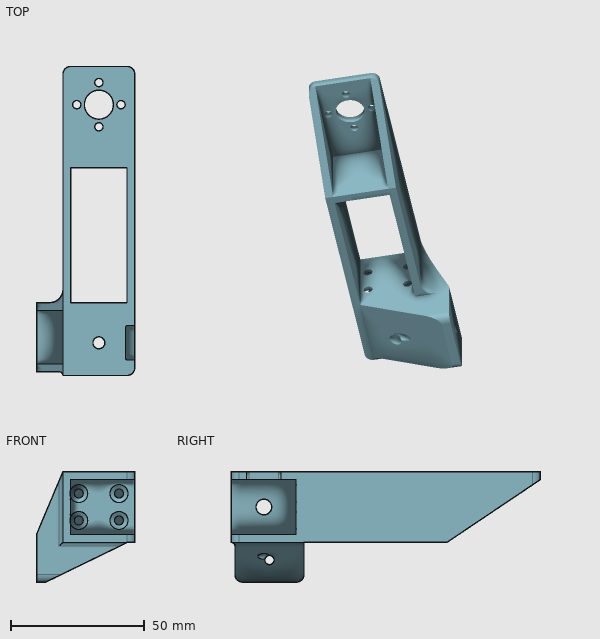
import cadquery as cq
import math

arm_length = 115.8
arm_width = 27.0
arm_height = 26.5
wall = 3.0
corner_radius = 3.0
mid_x = arm_width / 2
mid_z = arm_height / 2

left_wall = 2.8
window_front = 27.3
window_back = 77.8
motor_wall_back = window_back + wall
channel_back = window_front - wall

motor_y = 101.4
motor_bore = 10.8
motor_screw = 3.0
motor_screw_radius = 8.28
pivot_y = 12.3
pivot_diameter = 4.4
side_hole = 5.8
plate_screw = 3.4
plate_sink = 6.7
plate_pitch_x = 15.0
plate_pitch_z = 10.1

notch_front = 5.8
notch_back = 18.8
notch_depth = 3.6
notch_radius = 0.9

bracket_front = 1.4
bracket_back = window_front
bracket_reach = 9.8
bracket_drop = 14.9
bracket_foot = 3.4
bracket_tip_x = 24.2
shelf_z = 3.1
bracket_hole = 3.4
bracket_hole_z = -6.6
front_fillet = bracket_front
back_fillet = 5.0


def box(x0, x1, y0, y1, z0, z1):
    return cq.Workplane("XY").box(x1 - x0, y1 - y0, z1 - z0, centered=False).translate((x0, y0, z0))


def cylinder(diameter, length, start, direction):
    return cq.Workplane(cq.Solid.makeCylinder(diameter / 2, length, cq.Vector(*start), cq.Vector(*direction)))


def vertical_hole(diameter, x, y):
    """Hole through everything along Z."""
    return cylinder(diameter, arm_height + bracket_drop, (x, y, -bracket_drop), (0, 0, 1))


def make_arm():
    body = (
        cq.Workplane("YZ")
        .polyline([
            (0, 0),
            (motor_wall_back, 0),
            (arm_length, arm_height - wall),
            (arm_length, arm_height),
            (0, arm_height),
        ])
        .close()
        .extrude(arm_width)
    )
    rounded = box(0, arm_width, 0, arm_length, 0, arm_height)
    rounded = rounded.edges("|Z and (>Y or >X)").fillet(corner_radius)
    return body.intersect(rounded)


def bracket_profile(y0, y1):
    """Side profile of the bracket, continued inside the arm, from y0 to y1."""
    return (
        cq.Workplane("XZ", origin=(0, y0, 0))
        .polyline([
            (0, arm_height),
            (-bracket_reach, shelf_z),
            (-bracket_reach, -bracket_drop),
            (bracket_foot - bracket_reach, -bracket_drop),
            (bracket_tip_x, 0),
            (bracket_tip_x, wall),
            (0, wall),
        ])
        .close()
        .extrude(y0 - y1)
    )


def make_bracket():
    rounded = box(-bracket_reach, bracket_tip_x, bracket_front, bracket_back, -bracket_drop, arm_height)
    rounded = rounded.edges("|X and <Z").fillet(corner_radius)
    bracket = bracket_profile(bracket_front, bracket_back).intersect(rounded)
    pocket = box(-bracket_reach, 0, bracket_front + wall, bracket_back - wall, shelf_z, arm_height)
    return bracket.cut(pocket)


def fillet_section(plane, radius, y_start, y_step):
    """Concave fillet section between an arm face and a bracket face."""
    bulge = radius * (1 - math.sqrt(0.5))
    return (
        cq.Workplane(plane)
        .moveTo(0, y_start)
        .lineTo(0, y_start + y_step * radius)
        .threePointArc((-bulge, y_start + y_step * bulge), (-radius, y_start))
        .close()
    )


def make_bracket_fillets():
    under_plane = cq.Plane(origin=(0, 0, 0), xDir=(0, 0, 1), normal=(-1, 0, 0))
    side = fillet_section("XY", front_fillet, bracket_front, -1).extrude(arm_height)
    under = fillet_section(under_plane, front_fillet, bracket_front, -1).extrude(-arm_width)
    side_down = fillet_section("XY", front_fillet, bracket_front, -1).extrude(-front_fillet)
    under_left = fillet_section(under_plane, front_fillet, bracket_front, -1).extrude(front_fillet)
    front = side.union(under).union(side_down.intersect(under_left))
    back = fillet_section("XY", back_fillet, bracket_back, 1).extrude(arm_height)
    return front.union(back).intersect(bracket_profile(0, bracket_back + back_fillet))


def cut_openings(part):
    window = box(wall, arm_width - wall, window_front, window_back, -bracket_drop, arm_height)
    channel = box(left_wall, arm_width, 0, channel_back, wall, arm_height - wall)
    motor_space = box(wall, arm_width - wall, motor_wall_back, arm_length, 0, arm_height - wall)
    notch = box(
        arm_width - notch_depth, arm_width, notch_front, notch_back, arm_height - wall, arm_height
    )
    notch = notch.edges("|Z and <X").fillet(notch_radius)
    return part.cut(window).cut(channel).cut(motor_space).cut(notch)


def cut_holes(part):
    part = part.cut(vertical_hole(motor_bore, mid_x, motor_y))
    for dx, dy in [(1, 0), (0, 1), (-1, 0), (0, -1)]:
        x = mid_x + dx * motor_screw_radius
        part = part.cut(vertical_hole(motor_screw, x, motor_y + dy * motor_screw_radius))
    part = part.cut(vertical_hole(pivot_diameter, mid_x, pivot_y))

    bracket_mid_y = (bracket_front + bracket_back) / 2
    across = arm_width + bracket_reach
    part = part.cut(cylinder(side_hole, across, (-bracket_reach, pivot_y, mid_z), (1, 0, 0)))
    part = part.cut(
        cylinder(bracket_hole, across, (-bracket_reach, bracket_mid_y, bracket_hole_z), (1, 0, 0))
    )

    sink_depth = (plate_sink - plate_screw) / 2
    for side_x in (-1, 1):
        for side_z in (-1, 1):
            start = (mid_x + side_x * plate_pitch_x / 2, channel_back, mid_z + side_z * plate_pitch_z / 2)
            sink = cq.Solid.makeCone(
                plate_sink / 2, plate_screw / 2, sink_depth, cq.Vector(*start), cq.Vector(0, 1, 0)
            )
            part = part.cut(cylinder(plate_screw, wall, start, (0, 1, 0)))
            part = part.cut(cq.Workplane(sink))
    return part


body = make_arm().union(make_bracket()).union(make_bracket_fillets())
result = cut_holes(cut_openings(body))